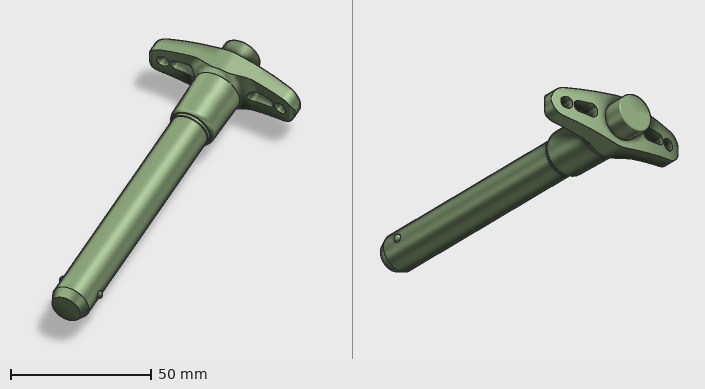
import cadquery as cq
import math

total_length = 134.9

shaft_radius = 7.3
button_edge_fillet = 0.5
tip_chamfer_length = 3.6
tip_radius = 5.7

ball_radius = 1.6
ball_depth = 123.4
ball_reach = 8.5

handle_width = 20.4
hub_radius = handle_width / 2
wing_tip_radius = 6.0
wing_tip_offset = 23.6
wing_end = wing_tip_offset + wing_tip_radius
handle_top_depth = 8.2
top_flat_half_width = 5.4
top_arc_radius = 91.7
underside_depth = 15.1
underside_flat_half_width = 10.1
underside_drop = 1.9
underside_arc_radius = (
    (wing_end - underside_flat_half_width) ** 2 + underside_drop ** 2
) / (2 * underside_drop)
wing_top_edge_fillet = 0.5
wing_lower_edge_fillet = 1.9

round_hole_diameter = 4.7
slot_inner_offset = 13.4
slot_inner_radius = 2.7
slot_outer_offset = 18.5
slot_outer_radius = 2.2

sleeve_top_radius = 9.2
sleeve_top_depth = 19.5
flare_outer_radius = 15.0
sleeve_taper_start_depth = 20.4
sleeve_bottom_radius = 8.8
sleeve_taper_end_depth = 37.4
sleeve_bottom_depth = 39.5
sleeve_edge_inset = 0.7
ring_radius = 7.7
ring_bottom_depth = 40.7


def arc_drop(radius, run):
    """Drop of an arc that starts level and covers the given horizontal run."""
    return radius - math.sqrt(radius ** 2 - run ** 2)


def tapered_prism(x_a, radius_a, x_b, radius_b):
    """Prism along -Y whose outline is two round ends joined by tangent lines; x_a < x_b."""
    lean = (radius_a - radius_b) / (x_b - x_a)
    rise = math.sqrt(1 - lean ** 2)
    a_x, a_z = x_a + radius_a * lean, radius_a * rise
    b_x, b_z = x_b + radius_b * lean, radius_b * rise
    return (
        cq.Workplane("XZ")
        .moveTo(a_x, a_z)
        .lineTo(b_x, b_z)
        .threePointArc((x_b + radius_b, 0), (b_x, -b_z))
        .lineTo(a_x, -a_z)
        .threePointArc((x_a - radius_a, 0), (a_x, a_z))
        .close()
        .extrude(total_length)
    )


def make_planform():
    """Handle outline along the pin axis: a round hub with two wings tangent to it."""
    wing = tapered_prism(0, hub_radius, wing_tip_offset, wing_tip_radius)
    return wing.union(wing.mirror("YZ"))


def make_handle_blank():
    """Bowed bar: both faces are flat in the middle and curve down tangentially."""
    top_y = -handle_top_depth
    bottom_y = -underside_depth
    top_run = wing_end - top_flat_half_width
    top_end_y = top_y - arc_drop(top_arc_radius, top_run)
    top_mid_y = top_y - arc_drop(top_arc_radius, top_run / 2)
    bottom_run = wing_end - underside_flat_half_width
    bottom_end_y = bottom_y - underside_drop
    bottom_mid_y = bottom_y - arc_drop(underside_arc_radius, bottom_run / 2)
    half = (
        cq.Workplane("XY")
        .moveTo(0, top_y)
        .lineTo(top_flat_half_width, top_y)
        .threePointArc((top_flat_half_width + top_run / 2, top_mid_y), (wing_end, top_end_y))
        .lineTo(wing_end, bottom_end_y)
        .threePointArc(
            (underside_flat_half_width + bottom_run / 2, bottom_mid_y),
            (underside_flat_half_width, bottom_y),
        )
        .lineTo(0, bottom_y)
        .close()
        .extrude(hub_radius, both=True)
    )
    half = half.faces(">X").edges(">Y").fillet(wing_top_edge_fillet)
    half = half.edges("|Z").edges(
        cq.selectors.NearestToPointSelector((wing_end, bottom_end_y, 0))
    ).fillet(wing_lower_edge_fillet)
    return half.union(half.mirror("YZ"))


def make_flare():
    """Concave flare blending the handle underside into the sleeve."""
    root_y = -(underside_depth + handle_top_depth) / 2
    flare_width = flare_outer_radius - sleeve_top_radius
    flare_height = sleeve_top_depth - underside_depth
    arc_radius = (flare_width ** 2 + flare_height ** 2) / (2 * flare_height)
    mid_y = -underside_depth - arc_drop(arc_radius, flare_width / 2)
    return (
        cq.Workplane("XY")
        .moveTo(0, root_y)
        .lineTo(sleeve_top_radius + flare_width / 2, root_y)
        .lineTo(flare_outer_radius, -underside_depth)
        .threePointArc(
            (sleeve_top_radius + flare_width / 2, mid_y),
            (sleeve_top_radius, -sleeve_top_depth),
        )
        .lineTo(0, -sleeve_top_depth)
        .close()
        .revolve(360, (0, 0, 0), (0, 1, 0))
    )


def make_handle():
    handle = make_handle_blank().union(make_flare()).intersect(make_planform())
    slot = tapered_prism(
        slot_inner_offset, slot_inner_radius, slot_outer_offset, slot_outer_radius
    )
    round_hole = (
        cq.Workplane("XZ")
        .center(wing_tip_offset, 0)
        .circle(round_hole_diameter / 2)
        .extrude(total_length)
    )
    for cutter in (slot, round_hole):
        handle = handle.cut(cutter).cut(cutter.mirror("YZ"))
    return handle


def make_pin():
    """Button, tapered sleeve, ring and shaft turned about the Y axis."""
    sleeve_root_y = -(handle_top_depth + underside_depth) / 2
    edge_height = sleeve_bottom_depth - sleeve_taper_end_depth
    edge_arc_radius = (edge_height ** 2 + sleeve_edge_inset ** 2) / (2 * sleeve_edge_inset)
    edge_mid_radius = sleeve_bottom_radius - arc_drop(edge_arc_radius, edge_height / 2)
    pin = (
        cq.Workplane("XY")
        .lineTo(shaft_radius, 0)
        .lineTo(shaft_radius, sleeve_root_y)
        .lineTo(sleeve_top_radius, sleeve_root_y)
        .lineTo(sleeve_top_radius, -sleeve_taper_start_depth)
        .lineTo(sleeve_bottom_radius, -sleeve_taper_end_depth)
        .threePointArc(
            (edge_mid_radius, -sleeve_taper_end_depth - edge_height / 2),
            (sleeve_bottom_radius - sleeve_edge_inset, -sleeve_bottom_depth),
        )
        .lineTo(ring_radius, -sleeve_bottom_depth)
        .lineTo(ring_radius, -ring_bottom_depth)
        .lineTo(shaft_radius, -ring_bottom_depth)
        .lineTo(shaft_radius, -total_length + tip_chamfer_length)
        .lineTo(tip_radius, -total_length)
        .lineTo(0, -total_length)
        .close()
        .revolve(360, (0, 0, 0), (0, 1, 0))
    )
    return pin.faces(">Y").edges().fillet(button_edge_fillet)


result = make_pin().union(make_handle())
for side in (-1, 1):
    ball_x = side * (ball_reach - ball_radius)
    ball = cq.Workplane("XY").sphere(ball_radius).translate((ball_x, -ball_depth, 0))
    result = result.union(ball)